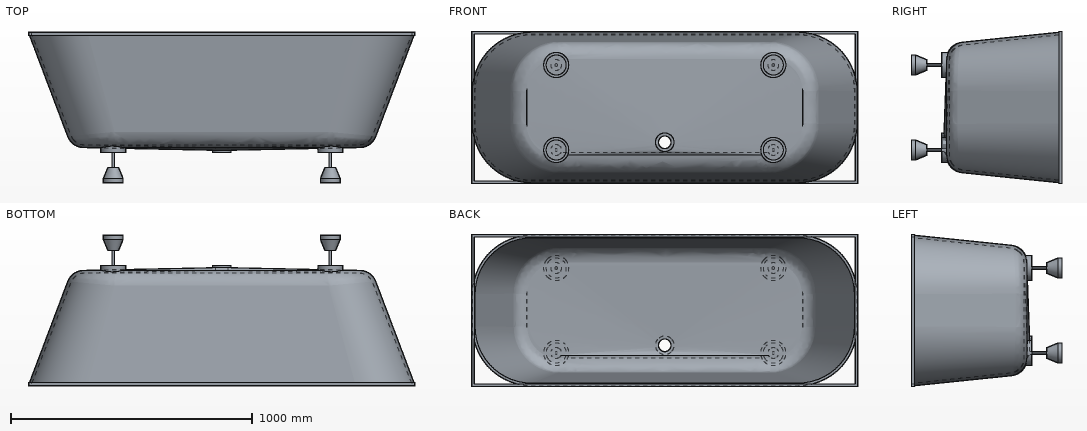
import cadquery as cq

length = 1601.0
height = 631.0
frame_depth = 13.0
frame_width = 11.0

rim_inset = 3.0
rim_corner = 245.0
floor_depth = 479.0
floor_half_x = 621.0
floor_half_z = 265.0
floor_corner = 195.0
edge_radius = 72.0
wall = 11.0

drain_z = -144.0
drain_radius = 38.0
bore_radius = 25.0
drain_depth = 500.0
fall = 11.0
floor_edge_half_x = 573.0
floor_edge_half_z = 197.0
floor_edge_corner = 144.0

foot_x = 450.0
foot_z = 176.0
pad_radius = 52.0
pad_depth = drain_depth
pad_root = floor_depth - edge_radius
rod_radius = 5.6
foot_top_depth = 560.0
foot_band_depth = 607.0
foot_end_depth = 625.0
foot_top_radius = 22.0
foot_radius = 42.0


def plane_at(depth, z=0.0):
    """Plane at a depth below the rim: local X and Y follow X and Z, normal toward -Y."""
    return cq.Workplane("XZ", origin=(0, -depth, z))


def rounded_outline(half_x, half_z, corner):
    return cq.Sketch().rect(2 * half_x, 2 * half_z).vertices().fillet(corner)


def tapered_basin(inset, depth, bottom_edge_radius):
    """Solid basin, inset sideways from the outer skin and ending at the given depth."""
    rim = rounded_outline(length / 2 - rim_inset - inset, height / 2 - rim_inset - inset, rim_corner - inset)
    floor = rounded_outline(floor_half_x - inset, floor_half_z - inset, floor_corner - inset)
    basin = (
        plane_at(frame_depth)
        .placeSketch(rim, floor.moved(cq.Location(cq.Vector(0, 0, depth - frame_depth))))
        .loft(ruled=True)
    )
    return basin.faces("<Y").edges().fillet(bottom_edge_radius)


def floor_fall(depth, inset):
    """Skewed shallow cone from the edge of the floor down to the drain."""
    edge = rounded_outline(floor_edge_half_x - inset, floor_edge_half_z - inset, floor_edge_corner - inset)
    drain = cq.Sketch().circle(drain_radius - inset)
    return (
        plane_at(depth)
        .placeSketch(edge, drain.moved(cq.Location(cq.Vector(0, drain_z, fall))))
        .loft(ruled=True)
    )


def make_leg():
    """Pad, rod and flared foot, as one profile of radius and depth turned about the leg's axis."""
    profile = [
        (0, -pad_root),
        (pad_radius, -pad_root),
        (pad_radius, -pad_depth),
        (rod_radius, -pad_depth),
        (rod_radius, -foot_top_depth),
        (foot_top_radius, -foot_top_depth),
        (foot_radius, -foot_band_depth),
        (foot_radius, -foot_end_depth),
        (0, -foot_end_depth),
    ]
    return cq.Workplane("XY").polyline(profile).close().revolve(360, (0, 0), (0, 1))


def make_tub():
    tub = tapered_basin(0, floor_depth, edge_radius).union(floor_fall(floor_depth, 0))
    collar = plane_at(pad_root, drain_z).circle(drain_radius).extrude(drain_depth - pad_root)
    tub = tub.union(collar)
    leg = make_leg()
    for x in (-foot_x, foot_x):
        for z in (-foot_z, foot_z):
            tub = tub.union(leg.translate((x, 0, z)))

    inner_depth = floor_depth - wall
    cavity = tapered_basin(wall, inner_depth, edge_radius - wall).union(floor_fall(inner_depth, wall))
    drain_bore = plane_at(pad_root, drain_z).circle(bore_radius).extrude(drain_depth - pad_root)
    return tub.cut(cavity).cut(drain_bore)


def make_frame():
    return (
        plane_at(0)
        .rect(length, height)
        .rect(length - 2 * frame_width, height - 2 * frame_width)
        .extrude(frame_depth)
    )


frame = make_frame()
tub = make_tub()
result = cq.Compound.makeCompound([frame.val(), *tub.solids().vals()])